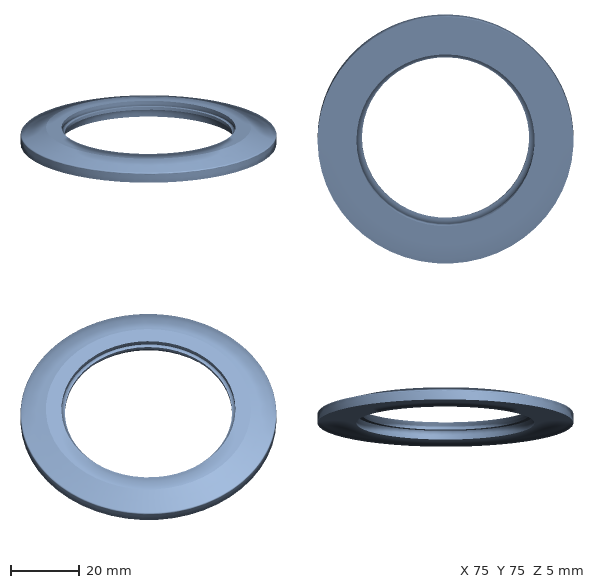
import cadquery as cq

outer_diameter = 75.0
height = 5.0

top_face_diameter = 60.1
slope_base_height = 2.9
edge_radius = 0.45

bore_diameter = 49.0
upper_recess_diameter = 51.0
upper_recess_depth = 1.5
lower_recess_diameter = 52.2
lip_thickness = 0.9
lower_recess_depth = height - upper_recess_depth - lip_thickness


def ring_body():
    """Solid disc with a conical upper face and a rounded outer edge."""
    half_profile = (
        cq.Workplane("XZ")
        .polyline([
            (0, 0),
            (outer_diameter / 2, 0),
            (outer_diameter / 2, slope_base_height),
            (top_face_diameter / 2, height),
            (0, height),
        ])
        .close()
    )
    disc = half_profile.revolve(360, (0, 0, 0), (0, 1, 0))
    edge_zone = cq.selectors.BoxSelector(
        (-outer_diameter, -outer_diameter, slope_base_height - edge_radius),
        (outer_diameter, outer_diameter, slope_base_height + edge_radius),
        boundingbox=True,
    )
    return disc.edges("%CIRCLE").edges(edge_zone).fillet(edge_radius)


def round_cutter(diameter, bottom, top):
    """Vertical cylinder on the ring axis."""
    return cq.Workplane("XY").workplane(offset=bottom).circle(diameter / 2).extrude(top - bottom)


result = (
    ring_body()
    .cut(round_cutter(bore_diameter, 0, height))
    .cut(round_cutter(upper_recess_diameter, height - upper_recess_depth, height))
    .cut(round_cutter(lower_recess_diameter, 0, lower_recess_depth))
)